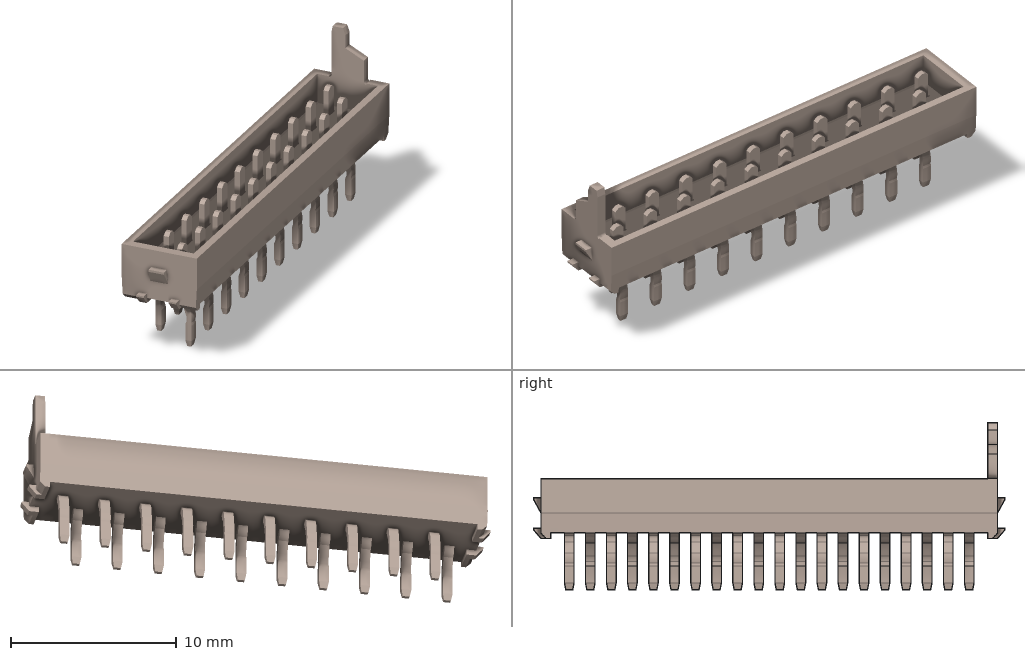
import cadquery as cq
import math


overall_length = 28.43
housing_length = 27.55
housing_width = 5.0
housing_height = 3.27
foot_height = 0.35
foot_bottom_width = 4.83
taper_start_z = 1.2
end_wall = 0.6
foot_length = end_wall
foot_inner_x = 0.82
foot_chamfer = 0.3

pocket_width = 4.05
floor_z = 1.35
floor_chamfer = 0.09

end_y = housing_length / 2
snap_reach = (overall_length - housing_length) / 2
latch_width = 1.2
latch_bottom_z = 1.2
latch_top_z = 2.13
latch_lip = 0.15
latch_top_width = 1.02
hook_width = 0.5
hook_top_z = 0.28
hook_lip = 0.1

post_half_width = 1.08
post_height = 3.38
finger_right_x = -0.15
post_shoulder_height = 1.48
finger_shoulder_height = 2.08
tip_chamfer_height = 0.45
tip_chamfer_left = 0.09
tip_chamfer_right = 0.17
post_fillet = 0.17
notch_depth = 0.09

pin_count = 20
pin_row_length = 24.15
pin_pitch = pin_row_length / (pin_count - 1)
blade_inner_x = 0.57
blade_thickness = 0.35
blade_width = 0.77
blade_top_z = 3.2
blade_tip_inset = 0.25
blade_tip_height = 0.2
collar_margin = 0.09
collar_height = 0.09
leg_inner_x = 1.08
leg_outer_x = 1.5
leg_width = 0.6
inner_elbow = (0.88, -0.63)
inner_knee = (1.15, -1.4)
inner_bend_end = (1.17, -1.73)
outer_bend_start = (1.15, -0.17)
outer_elbow_middle = (1.25, -0.35)
outer_elbow = (1.3, -0.55)
outer_knee = (1.48, -1.22)
outer_knee_middle = (1.5, -1.54)
outer_bend_end = (1.48, -1.82)
leg_top_z = -2.0
leg_tip_z = -3.0
leg_bottom_z = -3.45
leg_tip_taper = 0.09


def y_extrusion(points, y_start, y_end):
    """Extrude an XZ outline from y_start to y_end."""
    outline = cq.Workplane("XZ", origin=(0, y_start, 0)).polyline(points).close()
    return outline.extrude(y_start - y_end)


def x_extrusion(points, width, x_centre=0):
    """Extrude a YZ outline symmetrically about x_centre."""
    outline = cq.Workplane("YZ", origin=(x_centre, 0, 0)).polyline(points).close()
    return outline.extrude(width / 2, both=True)


def at_both_ends(feature):
    """Return the feature joined to its mirror image about the XZ plane."""
    return feature.union(feature.mirror("XZ"))


def make_housing():
    """Open-topped shroud with a tapered lower half and four corner feet."""
    half_width = housing_width / 2
    half_bottom = foot_bottom_width / 2
    section = [
        (-half_bottom, -foot_height),
        (half_bottom, -foot_height),
        (half_width, taper_start_z),
        (half_width, housing_height),
        (-half_width, housing_height),
        (-half_width, taper_start_z),
    ]
    housing = y_extrusion(section, -end_y, end_y)
    housing = housing.faces("<Z").edges("|X").chamfer(foot_chamfer)

    on_base = (True, True, False)
    span = cq.Workplane("XY").box(
        housing_width, housing_length - 2 * foot_length, foot_height, centered=on_base
    )
    channel = cq.Workplane("XY").box(2 * foot_inner_x, housing_length, foot_height, centered=on_base)
    housing = housing.cut(span.union(channel).translate((0, 0, -foot_height)))

    pocket = (
        cq.Workplane("XY", origin=(0, 0, floor_z))
        .rect(pocket_width, housing_length - 2 * end_wall)
        .extrude(housing_height - floor_z)
        .faces("<Z").edges("|Y").chamfer(floor_chamfer)
    )
    return housing.cut(pocket)


def make_latch():
    """Wedge that snaps into a mating part at the middle of an end face."""
    tip_y = end_y + snap_reach
    profile = [
        (end_y, latch_bottom_z),
        (tip_y, latch_top_z - latch_lip),
        (tip_y, latch_top_z),
        (end_y, latch_top_z),
    ]
    drafted_sides = [
        (-latch_width / 2, latch_bottom_z),
        (latch_width / 2, latch_bottom_z),
        (latch_top_width / 2, latch_top_z),
        (-latch_top_width / 2, latch_top_z),
    ]
    return x_extrusion(profile, latch_width).intersect(y_extrusion(drafted_sides, end_y, tip_y))


def make_hook(side):
    """Small wedge beside a foot, flush with the foot's underside."""
    tip_y = end_y + snap_reach
    root_y = end_y - foot_chamfer
    profile = [
        (root_y, -foot_height),
        (end_y, -foot_height),
        (tip_y, hook_top_z - hook_lip),
        (tip_y, hook_top_z),
        (root_y, hook_top_z),
    ]
    return x_extrusion(profile, hook_width, side * (foot_inner_x + hook_width / 2))


def make_post_notch():
    """Shallow recess in the +Y rim that the flared foot of the post fills from side to side."""
    notch = cq.Workplane("XY").box(
        2 * (post_half_width + post_fillet), end_wall, notch_depth, centered=(True, False, False)
    )
    return notch.translate((0, end_y - end_wall, housing_height - notch_depth))


def make_post():
    """Stepped polarising post whose foot flares out into the rim."""
    notch_z = housing_height - notch_depth
    top_z = housing_height + post_height
    chamfer_z = top_z - tip_chamfer_height
    flare_half_width = post_half_width + post_fillet
    flare_top_z = notch_z + post_fillet
    fillet_sag = post_fillet * (1 - math.sqrt(0.5))
    return (
        cq.Workplane("XZ", origin=(0, end_y, 0))
        .moveTo(-flare_half_width, notch_z)
        .lineTo(flare_half_width, notch_z)
        .threePointArc(
            (post_half_width + fillet_sag, notch_z + fillet_sag), (post_half_width, flare_top_z)
        )
        .lineTo(post_half_width, housing_height + post_shoulder_height)
        .lineTo(finger_right_x, housing_height + finger_shoulder_height)
        .lineTo(finger_right_x, chamfer_z)
        .lineTo(finger_right_x - tip_chamfer_right, top_z)
        .lineTo(-post_half_width + tip_chamfer_left, top_z)
        .lineTo(-post_half_width, chamfer_z)
        .lineTo(-post_half_width, flare_top_z)
        .threePointArc(
            (-post_half_width - fillet_sag, notch_z + fillet_sag), (-flare_half_width, notch_z)
        )
        .close()
        .extrude(end_wall)
    )


def make_blade():
    """Upper contact blade of a +X row pin, with a low collar at its foot."""
    half_width = blade_width / 2
    half_tip = half_width - blade_tip_inset
    tip_start_z = blade_top_z - blade_tip_height
    outline = [
        (-half_width, 0),
        (half_width, 0),
        (half_width, tip_start_z),
        (half_tip, blade_top_z),
        (-half_tip, blade_top_z),
        (-half_width, tip_start_z),
    ]
    blade = x_extrusion(outline, blade_thickness, blade_inner_x + blade_thickness / 2)
    collar = cq.Workplane("XY").box(
        blade_thickness + collar_margin,
        blade_width + 2 * collar_margin,
        floor_z + collar_height,
        centered=(False, True, False),
    )
    return blade.union(collar.translate((blade_inner_x, 0, 0)))


def make_leg():
    """Lower leg of a +X row pin: it bends outward, then hangs straight down."""
    blade_outer_x = blade_inner_x + blade_thickness
    root_z = floor_z / 2
    bend = (
        cq.Workplane("XZ", origin=(0, leg_width / 2, 0))
        .moveTo(blade_inner_x, root_z)
        .lineTo(blade_inner_x, 0)
        .tangentArcPoint(inner_elbow, relative=False)
        .lineTo(*inner_knee)
        .tangentArcPoint(inner_bend_end, relative=False)
        .lineTo(leg_inner_x, leg_top_z)
        .lineTo(leg_inner_x, leg_tip_z)
        .lineTo(leg_outer_x, leg_tip_z)
        .lineTo(leg_outer_x, leg_top_z)
        .lineTo(*outer_bend_end)
        .threePointArc(outer_knee_middle, outer_knee)
        .lineTo(*outer_elbow)
        .threePointArc(outer_elbow_middle, outer_bend_start)
        .lineTo(blade_outer_x, 0)
        .lineTo(blade_outer_x, root_z)
        .close()
        .extrude(leg_width)
    )
    leg_thickness = leg_outer_x - leg_inner_x
    tip = (
        cq.Workplane("XY", origin=((leg_inner_x + leg_outer_x) / 2, 0, leg_tip_z))
        .rect(leg_thickness, leg_width)
        .workplane(offset=leg_bottom_z - leg_tip_z)
        .rect(leg_thickness - 2 * leg_tip_taper, leg_width - 2 * leg_tip_taper)
        .loft()
    )
    return bend.union(tip)


result = make_housing().union(at_both_ends(make_latch()))
for side in (-1, 1):
    result = result.union(at_both_ends(make_hook(side)))

result = result.cut(make_post_notch()).union(make_post())

right_pin = make_blade().union(make_leg())
left_pin = right_pin.mirror("YZ")
first_pin_y = pin_row_length / 2
for index in range(pin_count):
    pin = left_pin if index % 2 == 0 else right_pin
    result = result.union(pin.translate((0, first_pin_y - index * pin_pitch, 0)))